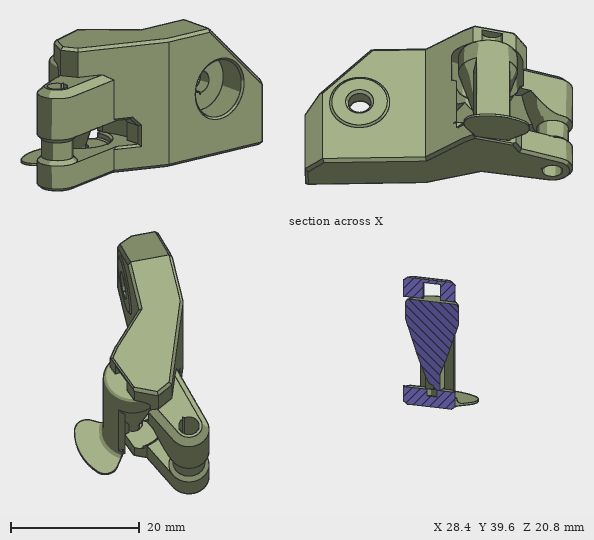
import cadquery as cq
import math

hinge_radius = 3.12
hinge_hole_diameter = 3.15
neck_diameter = 4.95
collar_height = 0.67
ear_taper = 5.5
ear_length = 11.45
ear_top = 16.2
ear_chamfer = 1.05
groove_width = 0.3
groove_depth = 0.3

housing_height = 20.8
edge_chamfer = 0.47
left_face_x = -5.2
left_face_trim = 0.25
left_face_front_y = 7.7
left_face_back_y = 14.85
nose_corner = (-2.45, 5.05)
front_corner = (0.4, 5.6)
back_corner = (-3.65, 15.95)

arm_angle = 70.0
arm_start = 19.65
arm_end = 38.45
arm_inner = -3.3
arm_outer = 3.75
arm_corner_cut = 2.85
slope_foot_z = 10.4

cross_hole_along = 29.85
cross_hole_z = 10.75
cross_hole_diameter = 3.5
cross_hole_chamfer = 0.45
cross_bore_diameter = 9.18
cross_bore_depth = 4.75
cross_bore_chamfer = 0.3
boss_base_radius = 4.65
boss_crease_radius = 4.3
boss_top_radius = 3.95
boss_crease_height = 0.25
boss_height = 0.3

seat_radius = 5.65
seat_top = 17.55
seat_rounding = 0.95
seat_ledge_z = 12.35
bore_radius = 5.0
bore_rim_chamfer = 0.35
seat_floor = 2.9
floor_corner_chamfer = 0.25
tip_hole_radius = 1.5
tip_hole_floor = 1.78
notch_diameter = 3.32
notch_top = 20.17

slot_bottom = 4.2
slot_top = 8.42
slot_radius = 15.15
slot_corner_chamfer = 1.25
slot_mouth_chamfer = 0.35
roof_inner_radius = 5.95
roof_outer_radius = 12.85
roof_slot_radius = 16.4
roof_start_angle = 75.0
roof_end_angle = 195.0

lever_x = -3.05
lever_y = 11.6
lever_direction = 174.0
head_diameter = 9.18
head_bottom = 13.92
head_top = 17.3
head_rounding = 0.7
tip_radius = 1.03
stem_inner_offset = 2.73
stem_inner_width = 5.77
stem_outer_width = 5.22
web_inner_offset = 1.25
web_thickness = 2.55
foot_radius = 9.05
foot_inner_radius = 3.55
foot_half_angle = 43.0
foot_thickness = 0.35
foot_corner_radius = 1.98
foot_fillet = 0.95

hinge_hole_radius = hinge_hole_diameter / 2
neck_radius = neck_diameter / 2
cross_hole_radius = cross_hole_diameter / 2
cross_bore_radius = cross_bore_diameter / 2
head_radius = head_diameter / 2
arm_thickness = arm_outer - arm_inner
roof_z = seat_ledge_z - (seat_radius - bore_radius)
beyond = 2 * housing_height


def arm_point(along, across):
    angle = math.radians(arm_angle)
    x = along * math.cos(angle) - across * math.sin(angle)
    y = along * math.sin(angle) + across * math.cos(angle)
    return (x, y)


def turned_about_z(shape, angle):
    return shape.rotate((0, 0, 0), (0, 0, 1), angle)


def revolved(outline, start_angle=0.0, end_angle=360.0):
    """Turn a closed (radius, z) outline about the Z axis; angles run from +X towards +Y."""
    turned = outline.close().revolve(end_angle - start_angle, (0, 0), (0, 1))
    return turned_about_z(turned, start_angle)


def profile(points):
    return cq.Workplane("XZ").polyline(points)


def at_lever(shape):
    """Move a shape from the origin to the lever axis."""
    return shape.translate((lever_x, lever_y, 0))


def at_cross_hole(shape):
    """Put a shape on the cross hole: its Z runs out of the arm's outer face, its X runs down."""
    x, y = arm_point(cross_hole_along, arm_outer)
    outwards = cq.Vector(*arm_point(0, 1), 0)
    frame = cq.Plane(origin=(x, y, cross_hole_z), xDir=(0, 0, -1), normal=outwards)
    return cq.Workplane(shape.val().moved(cq.Location(frame)))


def hole_groove(hole_radius, bottom, top):
    """A V groove along the +X side of a hole round the Z axis."""
    triangle = [
        (0, -groove_width / 2),
        (hole_radius, -groove_width / 2),
        (hole_radius + groove_depth, 0),
        (hole_radius, groove_width / 2),
        (0, groove_width / 2),
    ]
    return cq.Workplane("XY", origin=(0, 0, bottom)).polyline(triangle).close().extrude(top - bottom)


def arm_slope():
    """Everything above the 45 degree slope at the end of the arm."""
    rise = housing_height - slope_foot_z
    wedge = profile([
        (arm_end - rise, housing_height),
        (arm_end + rise, housing_height),
        (arm_end + rise, slope_foot_z - rise),
    ])
    wedge = wedge.close().extrude(2 * arm_thickness, both=True)
    return turned_about_z(wedge, arm_angle)


def block():
    outline = [
        (left_face_x - left_face_trim, left_face_front_y + left_face_trim),
        nose_corner,
        front_corner,
        arm_point(arm_start, arm_inner),
        arm_point(arm_end, arm_inner),
        arm_point(arm_end, arm_outer - arm_corner_cut),
        arm_point(arm_end - arm_corner_cut, arm_outer),
        arm_point(arm_start, arm_outer),
        back_corner,
        (left_face_x - left_face_trim, left_face_back_y - left_face_trim),
    ]
    body = cq.Workplane("XY").polyline(outline).close().extrude(housing_height).cut(arm_slope())

    slope_x, slope_y = arm_point(1, 0)
    facing_slope = cq.selectors.DirectionSelector(cq.Vector(slope_x, slope_y, 1))
    down_slope = cq.selectors.ParallelDirSelector(cq.Vector(slope_x, slope_y, -1))
    towards_end = cq.selectors.DirectionMinMaxSelector(cq.Vector(slope_x, slope_y, 0), True)
    top = body.faces(">Z")
    crease = top.edges(towards_end).val()
    top_rim = [edge for edge in top.edges().vals() if not edge.isSame(crease)]
    slope_sides = body.faces(facing_slope).edges(down_slope).vals()
    body = body.newObject(top_rim + slope_sides).chamfer(edge_chamfer)
    body = body.faces("<Z").chamfer(edge_chamfer)

    left_waste = cq.Workplane("XY").box(beyond, beyond, beyond).translate((left_face_x - beyond / 2, 0, 0))
    return body.cut(left_waste)


def ears():
    """Both ears in one piece, before the slot parts them."""
    lean = math.radians(ear_taper)
    tangent_x = hinge_radius * math.cos(lean)
    tangent_y = -hinge_radius * math.sin(lean)
    root_x = tangent_x + (ear_length - tangent_y) * math.tan(lean)
    body = (
        cq.Workplane("XY")
        .moveTo(root_x, ear_length)
        .lineTo(tangent_x, tangent_y)
        .threePointArc((0, -hinge_radius), (-tangent_x, tangent_y))
        .lineTo(-root_x, ear_length)
        .close()
        .extrude(ear_top)
    )
    body = body.faces(">Z").edges("not >Y").chamfer(ear_chamfer)
    return body.faces("<Z").edges("not >Y").chamfer(edge_chamfer)


def slot():
    return revolved(profile([
        (hinge_radius, slot_bottom),
        (slot_radius, slot_bottom),
        (slot_radius, slot_top - slot_corner_chamfer),
        (slot_radius - slot_corner_chamfer, slot_top),
        (hinge_radius, slot_top),
        (neck_radius, slot_top - collar_height),
        (neck_radius, slot_bottom + collar_height),
    ]))


def slot_roof():
    """The raised roof of the slot beside the lever; it rises at 45 degrees from its start angle."""
    sweep = revolved(profile([
        (hinge_radius, slot_bottom),
        (roof_slot_radius, slot_bottom),
        (roof_slot_radius, slot_top),
        (roof_outer_radius, roof_z),
        (roof_inner_radius, roof_z),
        (hinge_radius, slot_top),
    ]), 0, roof_end_angle)
    limit = (
        cq.Workplane("YZ")
        .polyline([
            (0, 0),
            (0, slot_top),
            (roof_z - slot_top, roof_z),
            (beyond, roof_z),
            (beyond, 0),
        ])
        .close()
        .extrude(beyond, both=True)
    )
    return sweep.intersect(turned_about_z(limit, roof_start_angle))


def with_slot_mouth(body):
    """Chamfer the slot's edges where it comes out through the front face of the block."""
    face_start = front_corner
    face_end = arm_point(arm_start, arm_inner)
    out_of_face = cq.Vector(face_end[1] - face_start[1], face_start[0] - face_end[0], 0)
    mouth = cq.selectors.BoxSelector(
        (front_corner[0] + 0.4, front_corner[1], slot_bottom - 0.4),
        (face_end[0], face_end[1], slot_top + 0.4),
    )
    front = body.faces(cq.selectors.DirectionSelector(out_of_face))
    return front.edges(mouth).chamfer(slot_mouth_chamfer)


def seat():
    cut = revolved(profile([
        (0, tip_hole_floor),
        (tip_hole_radius, tip_hole_floor),
        (tip_hole_radius, seat_floor),
        (bore_radius - floor_corner_chamfer, seat_floor),
        (bore_radius, seat_floor + floor_corner_chamfer),
        (bore_radius, slot_bottom - bore_rim_chamfer),
        (bore_radius + bore_rim_chamfer, slot_bottom),
        (bore_radius, slot_bottom),
        (bore_radius, roof_z),
        (seat_radius, seat_ledge_z),
        (seat_radius, seat_top),
        (0, seat_top),
    ]))
    return at_lever(cut.faces(">Z").edges().fillet(seat_rounding))


def notch():
    """A round notch in the left face, from the seat up to just under the top."""
    base = cq.Workplane("XY", origin=(left_face_x, lever_y, seat_top))
    return base.circle(notch_diameter / 2).extrude(notch_top - seat_top)


def hinge_hole():
    hole = cq.Workplane("XY").circle(hinge_hole_radius).extrude(ear_top)
    return hole.union(turned_about_z(hole_groove(hinge_hole_radius, 0, ear_top), 90))


def boss():
    return at_cross_hole(revolved(profile([
        (0, -cross_hole_chamfer),
        (boss_base_radius, -cross_hole_chamfer),
        (boss_base_radius, 0),
        (boss_crease_radius, boss_crease_height),
        (boss_top_radius, boss_height),
        (0, boss_height),
    ])))


def cross_hole():
    bore_floor = cross_bore_depth - arm_thickness
    hole = revolved(profile([
        (0, boss_height),
        (cross_hole_radius + cross_hole_chamfer, boss_height),
        (cross_hole_radius, boss_height - cross_hole_chamfer),
        (cross_hole_radius, bore_floor),
        (cross_bore_radius, bore_floor),
        (cross_bore_radius, cross_bore_chamfer - arm_thickness),
        (cross_bore_radius + cross_bore_chamfer, -arm_thickness),
        (0, -arm_thickness),
    ]))
    return at_cross_hole(hole.union(hole_groove(cross_hole_radius, bore_floor, boss_height)))


def make_housing():
    body = with_slot_mouth(block().cut(slot()))
    body = body.union(ears().cut(slot()))
    body = body.cut(slot_roof()).cut(seat()).cut(notch()).cut(hinge_hole())
    return body.union(boss()).cut(cross_hole())


def lever_head():
    head = cq.Workplane("XY", origin=(0, 0, head_bottom)).circle(head_radius).extrude(head_top - head_bottom)
    return head.faces(">Z").edges().fillet(head_rounding)


def lever_cone():
    """The cone under the head, ending in a straight tip that stands in the hole in the seat floor."""
    return revolved(profile([
        (0, tip_hole_floor),
        (tip_radius, tip_hole_floor),
        (tip_radius, seat_floor),
        (head_radius, head_bottom),
        (0, head_bottom),
    ]))


def lever_stem():
    outer_half = stem_outer_width / 2
    inner_half = stem_inner_width / 2
    outer_x = math.sqrt(head_radius**2 - outer_half**2)
    return (
        cq.Workplane("XY")
        .moveTo(stem_inner_offset, -inner_half)
        .lineTo(outer_x, -outer_half)
        .threePointArc((head_radius, 0), (outer_x, outer_half))
        .lineTo(stem_inner_offset, inner_half)
        .close()
        .extrude(head_bottom)
    )


def lever_web():
    """The web that joins the stem to the cone above the seat floor."""
    length = stem_inner_offset - web_inner_offset
    base = cq.Workplane("XY", origin=(web_inner_offset + length / 2, 0, seat_floor))
    return base.rect(length, web_thickness).extrude(head_bottom - seat_floor)


def lever_foot():
    plate = revolved(profile([
        (foot_inner_radius, 0),
        (foot_radius, 0),
        (foot_radius, foot_thickness),
        (foot_inner_radius, foot_thickness),
    ]), -foot_half_angle, foot_half_angle)
    outer_corners = cq.selectors.BoxSelector((head_radius, -foot_radius, 0), (foot_radius, foot_radius, head_top))
    plate = plate.edges("|Z").edges(outer_corners).fillet(foot_corner_radius)

    blend_top = foot_thickness + foot_fillet
    blend = revolved(
        cq.Workplane("XZ")
        .moveTo(foot_inner_radius, 0)
        .lineTo(head_radius + foot_fillet, 0)
        .lineTo(head_radius + foot_fillet, foot_thickness)
        .radiusArc((head_radius, blend_top), foot_fillet)
        .lineTo(foot_inner_radius, blend_top),
        -foot_half_angle,
        foot_half_angle,
    )
    return plate.union(blend)


def make_lever():
    body = lever_head().union(lever_cone()).union(lever_stem()).union(lever_web()).union(lever_foot())
    return at_lever(turned_about_z(body, lever_direction))


housing = make_housing()
lever = make_lever()

result = cq.Compound.makeCompound([housing.val(), lever.val()])